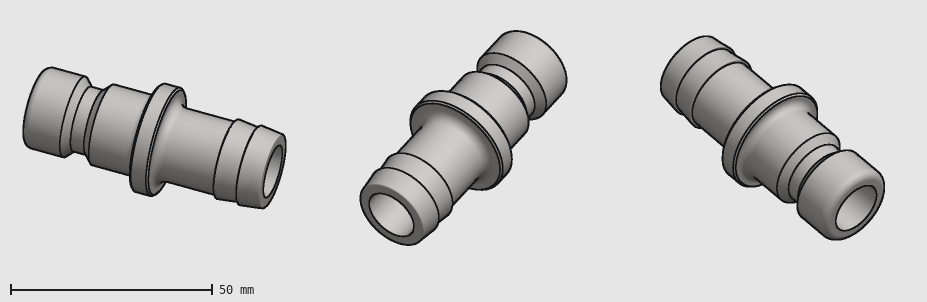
import cadquery as cq
import math

LENGTH = 63.0
BORE_RADIUS = 13.5 / 2

BODY_RADIUS = 20.9 / 2
NOSE_ROUND = 2.0

GROOVE_RADIUS = 16.8 / 2
GROOVE_FLOOR_START = 12.4
GROOVE_END = 18.0

FLANGE_RADIUS = 28.0 / 2
FLANGE_START = 30.0
FLANGE_WIDTH = 5.0
FLANGE_EDGE_CHAMFER = 0.5
PLUG_ROOT_FILLET = 2.0
TAIL_ROOT_FILLET = 2.5

TAIL_RADIUS = 19.0 / 2
BARB_RADIUS = 20.65 / 2
BARB_COUNT = 2
BARB_PITCH = 6.0
BARB_TAPER_ANGLE = 7.0
BARB_CREST_ROUND = 0.2
TAIL_END_ROUND = 0.4

GROOVE_DEPTH = BODY_RADIUS - GROOVE_RADIUS
FLANGE_END = FLANGE_START + FLANGE_WIDTH
BARBS_START = LENGTH - BARB_COUNT * BARB_PITCH
BARB_TAIL_RADIUS = BARB_RADIUS - BARB_PITCH * math.tan(math.radians(BARB_TAPER_ANGLE))


def cylinder(start, end, radius):
    """Solid cylinder about the X axis between two X positions."""
    return cq.Workplane("YZ").workplane(offset=start).circle(radius).extrude(end - start)


def revolve_profile(profile):
    """Revolve an XY profile a full turn about the X axis."""
    return profile.close().revolve(360, (0, 0, 0), (1, 0, 0))


def make_plug():
    plug = cylinder(0, FLANGE_END, BODY_RADIUS)
    return plug.faces("<X").edges().fillet(NOSE_ROUND)


def make_groove():
    profile = (
        cq.Workplane("XY")
        .moveTo(GROOVE_FLOOR_START - GROOVE_DEPTH, BODY_RADIUS)
        .lineTo(GROOVE_FLOOR_START, GROOVE_RADIUS)
        .lineTo(GROOVE_END - GROOVE_DEPTH, GROOVE_RADIUS)
        .lineTo(GROOVE_END, BODY_RADIUS)
    )
    return revolve_profile(profile)


def make_flange():
    flange = cylinder(FLANGE_START, FLANGE_END, FLANGE_RADIUS)
    return flange.edges().chamfer(FLANGE_EDGE_CHAMFER)


def make_root_fillet(face_x, base_radius, fillet_radius, direction):
    """Concave ring filling the corner between a flange face and the cylinder beside it."""
    profile = (
        cq.Workplane("XY")
        .moveTo(face_x, base_radius + fillet_radius)
        .radiusArc(
            (face_x + direction * fillet_radius, base_radius),
            -direction * fillet_radius,
        )
        .lineTo(face_x + direction * fillet_radius, BORE_RADIUS)
        .lineTo(face_x, BORE_RADIUS)
    )
    return revolve_profile(profile)


def make_tail():
    return cylinder(FLANGE_START, LENGTH, TAIL_RADIUS)


def make_barb(start):
    """Cone falling from a rounded crest toward the hose end."""
    profile = (
        cq.Workplane("XY")
        .moveTo(start, 0)
        .lineTo(start, BARB_RADIUS)
        .lineTo(start + BARB_PITCH, BARB_TAIL_RADIUS)
        .lineTo(start + BARB_PITCH, 0)
    )
    barb = revolve_profile(profile)
    return barb.faces("<X").edges().fillet(BARB_CREST_ROUND)


def add_barbs(body):
    for index in range(BARB_COUNT):
        body = body.union(make_barb(BARBS_START + index * BARB_PITCH))
    return body.faces(">X").edges().fillet(TAIL_END_ROUND)


plug = make_plug().cut(make_groove())
outside = plug.union(make_flange()).union(make_tail())
outside = outside.union(make_root_fillet(FLANGE_START, BODY_RADIUS, PLUG_ROOT_FILLET, -1))
outside = outside.union(make_root_fillet(FLANGE_END, TAIL_RADIUS, TAIL_ROOT_FILLET, 1))
outside = add_barbs(outside)
result = outside.cut(cylinder(0, LENGTH, BORE_RADIUS))